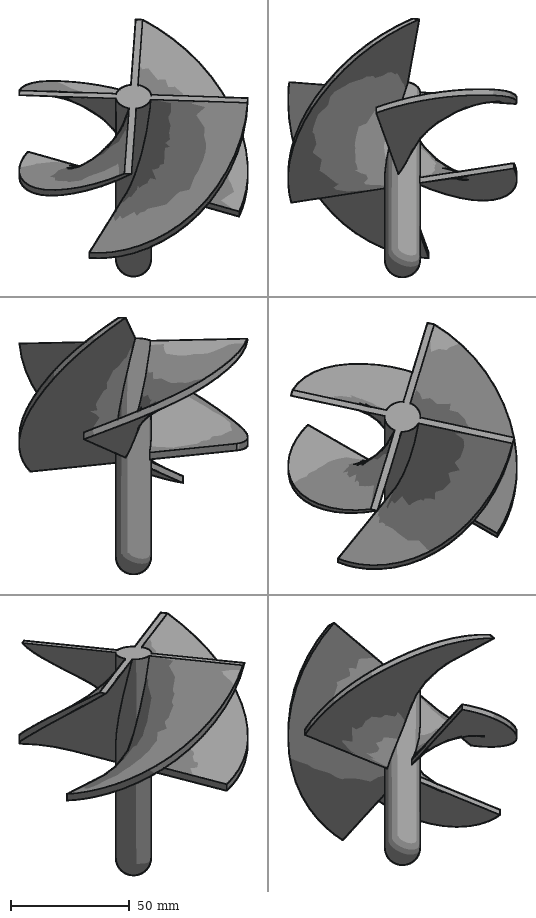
import cadquery as cq
import math

total_height = 100.0
shaft_diameter = 15.0
shaft_radius = shaft_diameter / 2

rotor_diameter = 96.3
rotor_radius = rotor_diameter / 2
blade_count = 4
blade_height = 51.4
blade_thickness = 3.0
half_thickness = blade_thickness / 2
blade_base = total_height - blade_height

wrap_angle = 110.0
start_climb = 0.2
steepening_angle = 70.0

root_reach = shaft_radius * 0.6
tip_reach = rotor_radius * 1.1
rail_segments = 12


def middle_height(angle):
    """Height of the blade's middle surface, at an angle from its lower end."""
    full_rise = blade_height - half_thickness
    steady_length = wrap_angle - steepening_angle / 2
    end_climb = (full_rise - start_climb * steepening_angle / 2) / steady_length
    climb_gain = end_climb - start_climb
    curved = min(angle, steepening_angle)
    rise = start_climb * angle + climb_gain * curved**2 / (2 * steepening_angle)
    rise += climb_gain * (angle - curved)
    return blade_base + half_thickness + rise


def rail_point(angle, reach, side):
    """Point on the upper (side = 1) or lower (side = -1) blade surface.

    The thickness direction leans from upright at the bottom to level at the top.
    """
    heading = math.radians(angle)
    lean = math.radians(90 * angle / wrap_angle)
    sideways = -side * half_thickness * math.sin(lean)
    upward = side * half_thickness * math.cos(lean)
    return cq.Vector(
        reach * math.cos(heading) - sideways * math.sin(heading),
        reach * math.sin(heading) + sideways * math.cos(heading),
        middle_height(angle) + upward,
    )


def rail(reach, side):
    angles = [wrap_angle * i / rail_segments for i in range(rail_segments + 1)]
    return cq.Edge.makeSpline([rail_point(angle, reach, side) for angle in angles])


def make_blade():
    corners = [(root_reach, 1), (tip_reach, 1), (tip_reach, -1), (root_reach, -1)]
    rails = [rail(reach, side) for reach, side in corners]
    faces = [
        cq.Face.makeRuledSurface(rails[i], rails[(i + 1) % len(rails)])
        for i in range(len(rails))
    ]
    for end_angle in (0, wrap_angle):
        outline = [rail_point(end_angle, reach, side) for reach, side in corners]
        faces.append(cq.Face.makeFromWires(cq.Wire.makePolygon(outline, close=True)))
    blade = cq.Workplane(cq.Solid.makeSolid(cq.Shell.makeShell(faces)))
    envelope = cq.Workplane().workplane(offset=blade_base).circle(rotor_radius).extrude(blade_height)
    return envelope.intersect(blade)


def make_shaft():
    straight_length = total_height - shaft_radius
    rod = cq.Workplane().workplane(offset=shaft_radius).circle(shaft_radius).extrude(straight_length)
    rounded_end = cq.Workplane().sphere(shaft_radius).translate((0, 0, shaft_radius))
    return rod.union(rounded_end)


result = make_shaft()
blade = make_blade()
for i in range(blade_count):
    result = result.union(blade.rotate((0, 0, 0), (0, 0, 1), i * 360 / blade_count))